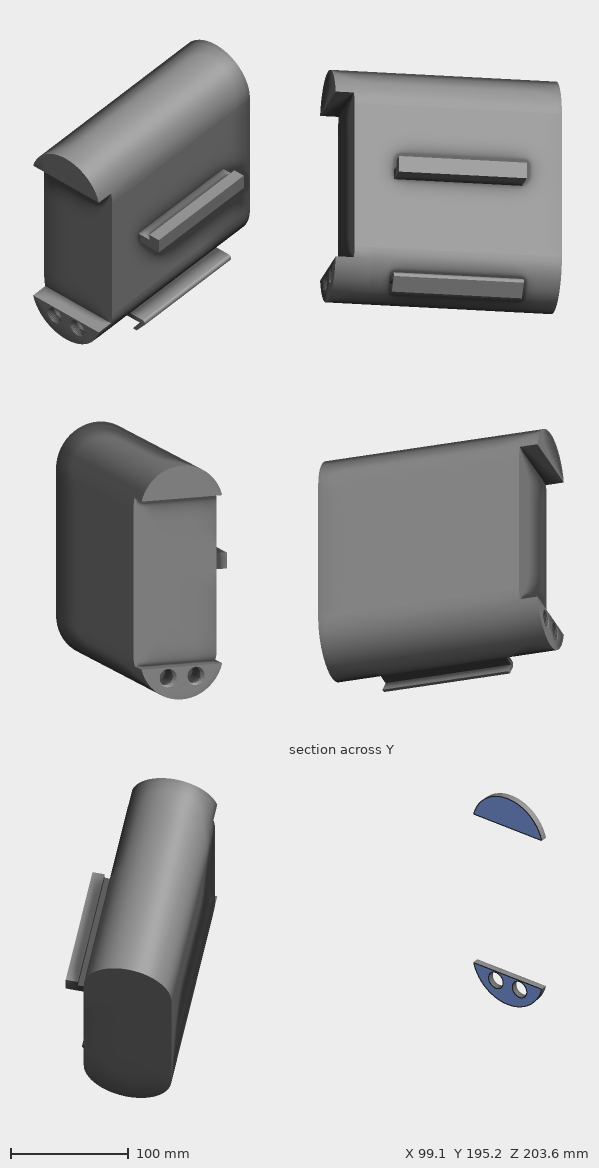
import cadquery as cq
import math

total_length = 195.24
width = 76.2
height = 203.2
radius = width / 2

cap_length = 31.75
ledge_height = 28.575
recess_depth = 15.875

port_spacing = 25.4
port_height = 19.5
port_bore_diameter = 14.45
port_thread_diameter = 15.88
port_depth = 25.4
thread_pitch = 1.41
thread_flat = thread_pitch / 8
thread_turns = 5

rail_front = 50.2
rail_back_setback = 34.5
rail_back = total_length - rail_back_setback
rail_reach = 22.88
rail_bottom = 99.3
rail_thickness = 8.4
lip_thickness = 10.6
lip_rise = 5.4

clip_front = 48.35
clip_back = rail_back
clip_top = 14.9
clip_thickness = 4.6
clip_end_x = 46.8
clip_bend_radius = 3.0
clip_inner_corner_x = 42.0
clip_tip_z = -0.41
clip_leg_angle = math.radians(50.9)
clip_leg_width_x = 4.4


def stadium_block(y_start, y_end):
    """Full round-ended section extruded along Y."""
    return (
        cq.Workplane("XZ", origin=(0, y_start, height / 2))
        .slot2D(height, width, 90)
        .extrude(y_start - y_end)
    )


def make_housing():
    """Long round-ended housing with its hook rail."""
    rail_end_x = radius + rail_reach
    rail_top = rail_bottom + rail_thickness
    rail = (
        cq.Workplane("XZ", origin=(0, rail_front, 0))
        .moveTo(0, rail_bottom)
        .lineTo(rail_end_x, rail_bottom)
        .lineTo(rail_end_x, rail_top + lip_rise)
        .lineTo(rail_end_x - lip_thickness, rail_top + lip_rise)
        .lineTo(rail_end_x - lip_thickness, rail_top)
        .lineTo(0, rail_top)
        .close()
        .extrude(rail_front - rail_back)
    )
    return stadium_block(cap_length, total_length).union(rail)


def port_cutter():
    """Blind bore with ring-shaped thread grooves, revolved about the Y axis."""
    bore_radius = port_bore_diameter / 2
    thread_radius = port_thread_diameter / 2
    profile = cq.Workplane("XY").moveTo(0, 0).lineTo(thread_radius, 0)
    for turn in range(thread_turns):
        crest_y = (turn + 0.5) * thread_pitch
        next_groove_y = (turn + 1) * thread_pitch
        profile = (
            profile.lineTo(thread_radius, turn * thread_pitch + thread_flat / 2)
            .lineTo(bore_radius, crest_y - thread_flat / 2)
            .lineTo(bore_radius, crest_y + thread_flat / 2)
            .lineTo(thread_radius, next_groove_y - thread_flat / 2)
        )
    last_groove_y = thread_turns * thread_pitch
    profile = profile.lineTo(thread_radius, last_groove_y).lineTo(bore_radius, last_groove_y)
    profile = profile.lineTo(bore_radius, port_depth).lineTo(0, port_depth).close()
    return profile.revolve(360, (0, 0, 0), (0, 1, 0))


def make_cap():
    """End cap with a flat recess between two ledges and two threaded ports."""
    recess = cq.Workplane("XY").box(
        width, recess_depth, height - 2 * ledge_height, centered=(True, False, False)
    ).translate((0, 0, ledge_height))
    cap = stadium_block(0, cap_length).cut(recess)
    for side in (-1, 1):
        cap = cap.cut(port_cutter().translate((side * port_spacing / 2, 0, port_height)))
    return cap


def make_clip(housing):
    """Bent strip whose root follows the round underside of the housing."""
    arm_bottom = clip_top - clip_thickness
    leg_slope = 1 / math.tan(clip_leg_angle)
    tip_inner_x = clip_inner_corner_x - leg_slope * (arm_bottom - clip_tip_z)
    tip_outer_x = tip_inner_x + clip_leg_width_x
    outer_knee_z = clip_tip_z + (clip_end_x - tip_outer_x) / leg_slope
    strip = (
        cq.Workplane("XZ", origin=(0, clip_front, 0))
        .moveTo(0, clip_top)
        .lineTo(clip_end_x - clip_bend_radius, clip_top)
        .radiusArc((clip_end_x, clip_top - clip_bend_radius), clip_bend_radius)
        .lineTo(clip_end_x, outer_knee_z)
        .lineTo(tip_outer_x, clip_tip_z)
        .lineTo(tip_inner_x, clip_tip_z)
        .lineTo(clip_inner_corner_x, arm_bottom)
        .lineTo(0, arm_bottom)
        .close()
        .extrude(clip_front - clip_back)
    )
    return strip.cut(housing)


housing = make_housing()
cap = make_cap()
clip = make_clip(housing)

result = cq.Compound.makeCompound(
    [housing.solids().val(), cap.solids().val(), clip.solids().val()]
)